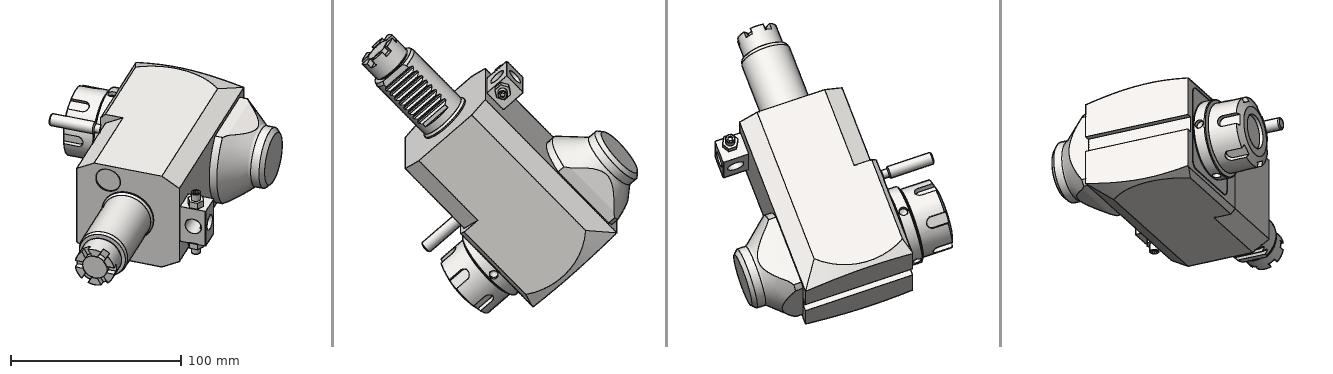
import cadquery as cq
HALF_SIDE = 32.0
BODY_LENGTH = 114.0
EDGE_RUN = 10.9
EDGE_DROP = 6.2
HEAD_START = 51.0
HEAD_STEP = 3.0
KEYWAY_HEIGHT = 9.5
KEYWAY_DEPTH = 3.6
RELIEF_X = -9.2
RELIEF_RADIUS = 43.6
RELIEF_DEPTH = 46.7
RELIEF_SLOPE = 1 / 3
MARK_X = -12.5
MARK_Z = 21.8
MARK_RADIUS = 7.6
MARK_DEPTH = 0.9

HEAD_X = -HALF_SIDE - HEAD_STEP

SPINDLE_Y = 85.0
PAD_WIDTH = 45.3
PAD_HEIGHT = 53.0
PAD_CORNER = 4.3
PAD_RISE = 0.3
RING_X = -43.5
RING_RADIUS = 23.5
RING_LENGTH = 7.6
RING_BEVEL = 0.5
RING_HOLE_RADIUS = 2.6
RING_HOLE_DEPTH = 2.6
RING_HOLE_POINT = 1.5
RING_HOLE_COUNT = 4
SEAT_RADIUS = 22.5
NECK_RADIUS = 18.0
NUT_BACK_X = -44.5
NUT_RIM_X = -62.6
NUT_FACE_X = -64.7
NUT_RADIUS = 21.1
NUT_FACE_RADIUS = 15.0
NUT_BORE_RADIUS = 10.4
NUT_BORE_DEPTH = 2.0
NUT_SLOT_COUNT = 6
NUT_SLOT_WIDTH = 7.0
NUT_SLOT_END_X = -50.5
NUT_SLOT_FLOOR = 18.0

PIN_Y = 56.5
PIN_Z = 17.1
PIN_TIP_X = -68.0
PIN_SHOULDER_X = -40.1
PIN_FLARE_X = -36.7
PIN_RADIUS = 3.6
PIN_NECK_RADIUS = 2.6
PIN_FLARE_RADIUS = 4.3
PIN_BEVEL = 0.7
PLUG_Z = 9.7
PLUG_HOLE_RADIUS = 1.5

COLLAR_RADIUS = 16.1
COLLAR_LENGTH = 2.5
COLLAR_RIM = 0.9
SHANK_RADIUS = 15.0
SHANK_END = 45.3
SHANK_BEVEL = 2.0
SHANK_BEVEL_RADIAL = 0.7
SHANK_NECK_RADIUS = 11.5
DRIVE_RADIUS = 12.3
DRIVE_START = 46.2
DRIVE_END = 59.0
DRIVE_SLOT_COUNT = 6
DRIVE_SLOT_WIDTH = 4.5
DRIVE_SLOT_DEPTH = 3.6
DRIVE_HUB_RADIUS = 7.6
DRIVE_HUB_RECESS = 0.3
FLAT_START = 7.5
FLAT_Z = -12.1
TOOTH_PITCH = 4.0
TOOTH_COUNT = 8
TOOTH_START = 11.8
TOOTH_GAP_MOUTH = 3.6
TOOTH_GAP_ROOT = 1.0
TOOTH_DEPTH = 1.7

CAP_RADIUS = 32.0
CAP_RIM_X = 36.7
CAP_CONE_X = 51.5
CAP_CONE_RADIUS = 19.0
CAP_NOSE_X = 53.0
CAP_END_X = 60.7
CAP_NOSE_RADIUS = 18.3
CAP_BEVEL = 2.6
CAP_FLAT_Z = 23.4
CAP_TAPER_X = 39.1
CAP_TAPER_Z = 19.0
CAP_FLAT_Y = 24.7

BLOCK_X = 48.0
BLOCK_Y_NEAR = 1.4
BLOCK_LENGTH = 14.4
BLOCK_HEIGHT = 24.4
BLOCK_BEVEL = 0.3
PORT_X = 40.1
PORT_RADIUS = 5.0
CROSS_PORT_RADIUS = 4.7
SCREW_Y = 6.2
SCREW_RADIUS = 2.8
SCREW_RISE = 9.0
SCREW_BEVEL = 0.3
SOCKET_WIDTH = 3.1
SOCKET_DEPTH = 1.7
HEX_WIDTH = 9.7
HEX_HEIGHT = 4.2

OVERLAP = 1.7
REACH = 103.8


def box(x_range, y_range, z_range):
    lows, highs = zip(x_range, y_range, z_range)
    sizes = [high - low for low, high in zip(lows, highs)]
    return cq.Workplane().box(*sizes, centered=False).translate(lows)


def turned_x(points, y=0.0, z=0.0):
    """Turn (x, radius) points about a line along X."""
    profile = cq.Workplane().polyline(points).close()
    return profile.revolve(360, (0, 0, 0), (1, 0, 0)).translate((0, y, z))


def turned_shank(points):
    """Turn (distance in front of the housing, radius) points about the Y axis."""
    profile = cq.Workplane().polyline([(radius, -distance) for distance, radius in points]).close()
    return profile.revolve(360, (0, 0, 0), (0, 1, 0))


def rear_relief():
    """Half ring above a cone with a vertical axis; it lowers the rear of the top face."""
    drop = (REACH - RELIEF_RADIUS) * RELIEF_SLOPE
    triangle = [
        (RELIEF_RADIUS, HALF_SIDE),
        (REACH, HALF_SIDE),
        (REACH, HALF_SIDE - drop),
    ]
    half_ring = cq.Workplane("XZ").polyline(triangle).close().revolve(180, (0, 0, 0), (0, 1, 0))
    if half_ring.val().Center().y < 0:
        half_ring = half_ring.mirror("XZ")
    return half_ring.translate((RELIEF_X, BODY_LENGTH - RELIEF_DEPTH, 0))


def housing():
    chamfer_x = HALF_SIDE - EDGE_RUN
    chamfer_z = HALF_SIDE - EDGE_DROP
    head_z = HALF_SIDE - HEAD_STEP
    right_edge = [
        (chamfer_x, -HALF_SIDE),
        (HALF_SIDE, -chamfer_z),
        (HALF_SIDE, chamfer_z),
        (chamfer_x, HALF_SIDE),
    ]
    front_left = [
        (-chamfer_x, HALF_SIDE),
        (-HALF_SIDE, chamfer_z),
        (-HALF_SIDE, -chamfer_z),
        (-chamfer_x, -HALF_SIDE),
    ]
    head_left = [
        (-HALF_SIDE, HALF_SIDE),
        (HEAD_X, head_z),
        (HEAD_X, -head_z),
        (-HALF_SIDE, -HALF_SIDE),
    ]
    front = cq.Workplane("XZ").polyline(right_edge + front_left).close().extrude(-BODY_LENGTH)
    head = cq.Workplane("XZ", origin=(0, HEAD_START, 0)).polyline(right_edge + head_left).close()
    body = front.union(head.extrude(HEAD_START - BODY_LENGTH))

    relief = rear_relief()
    body = body.cut(relief).cut(relief.mirror("XY"))

    half_key = KEYWAY_HEIGHT / 2
    keyway = box((-REACH, REACH), (BODY_LENGTH - KEYWAY_DEPTH, REACH + BODY_LENGTH), (-half_key, half_key))
    mark = cq.Workplane("XZ").center(MARK_X, MARK_Z).circle(MARK_RADIUS).extrude(-MARK_DEPTH)
    return body.cut(keyway).cut(mark)


def spindle_pad():
    pad = box(
        (HEAD_X - PAD_RISE, HEAD_X + OVERLAP),
        (SPINDLE_Y - PAD_WIDTH / 2, SPINDLE_Y + PAD_WIDTH / 2),
        (-PAD_HEIGHT / 2, PAD_HEIGHT / 2),
    )
    return pad.edges("|X").fillet(PAD_CORNER)


def spindle():
    ring_back_x = RING_X + RING_LENGTH
    bore_x = NUT_FACE_X + NUT_BORE_DEPTH
    body = turned_x(
        [
            (HEAD_X + OVERLAP, 0),
            (HEAD_X + OVERLAP, SEAT_RADIUS),
            (ring_back_x, SEAT_RADIUS),
            (ring_back_x, RING_RADIUS - RING_BEVEL),
            (ring_back_x - RING_BEVEL, RING_RADIUS),
            (RING_X + RING_BEVEL, RING_RADIUS),
            (RING_X, RING_RADIUS - RING_BEVEL),
            (RING_X, NECK_RADIUS),
            (NUT_BACK_X, NECK_RADIUS),
            (NUT_BACK_X, NUT_RADIUS),
            (NUT_RIM_X, NUT_RADIUS),
            (NUT_FACE_X, NUT_FACE_RADIUS),
            (NUT_FACE_X, NUT_BORE_RADIUS),
            (bore_x, NUT_BORE_RADIUS),
            (bore_x, 0),
        ]
    )

    slot_length = NUT_SLOT_END_X - NUT_FACE_X
    slot_end = NUT_SLOT_END_X - NUT_SLOT_WIDTH / 2
    slot = (
        cq.Workplane("XZ", origin=(slot_end, NUT_SLOT_FLOOR, 0))
        .circle(NUT_SLOT_WIDTH / 2)
        .extrude(-NUT_RADIUS)
    )
    slot = slot.union(
        box(
            (slot_end - slot_length, slot_end),
            (NUT_SLOT_FLOOR, NUT_SLOT_FLOOR + NUT_RADIUS),
            (-NUT_SLOT_WIDTH / 2, NUT_SLOT_WIDTH / 2),
        )
    )
    for index in range(NUT_SLOT_COUNT):
        body = body.cut(slot.rotate((0, 0, 0), (1, 0, 0), index * 360 / NUT_SLOT_COUNT))

    hole_floor = RING_RADIUS - RING_HOLE_DEPTH
    hole_outline = [
        (0, hole_floor - RING_HOLE_POINT),
        (RING_HOLE_RADIUS, hole_floor),
        (RING_HOLE_RADIUS, RING_RADIUS + OVERLAP),
        (0, RING_RADIUS + OVERLAP),
    ]
    hole = cq.Workplane().polyline(hole_outline).close().revolve(360, (0, 0, 0), (0, 1, 0))
    hole = hole.translate((RING_X + RING_LENGTH / 2, 0, 0))
    for index in range(RING_HOLE_COUNT):
        body = body.cut(hole.rotate((0, 0, 0), (1, 0, 0), index * 360 / RING_HOLE_COUNT))
    return body.translate((0, SPINDLE_Y, 0))


def coolant_pin():
    return turned_x(
        [
            (HEAD_X + OVERLAP, 0),
            (HEAD_X + OVERLAP, PIN_FLARE_RADIUS),
            (HEAD_X, PIN_FLARE_RADIUS),
            (PIN_FLARE_X, PIN_NECK_RADIUS),
            (PIN_SHOULDER_X, PIN_NECK_RADIUS),
            (PIN_SHOULDER_X - PIN_BEVEL, PIN_RADIUS),
            (PIN_TIP_X + PIN_BEVEL, PIN_RADIUS),
            (PIN_TIP_X, PIN_RADIUS - PIN_BEVEL),
            (PIN_TIP_X, 0),
        ],
        PIN_Y,
        PIN_Z,
    )


def plug():
    """Low round plug with a small blind hole, just below the coolant pin."""
    top_x = HEAD_X - PAD_RISE
    return turned_x(
        [
            (HEAD_X + OVERLAP, 0),
            (HEAD_X + OVERLAP, PIN_FLARE_RADIUS),
            (top_x, PIN_FLARE_RADIUS),
            (top_x, PLUG_HOLE_RADIUS),
            (HEAD_X, PLUG_HOLE_RADIUS),
            (HEAD_X, 0),
        ],
        PIN_Y,
        PLUG_Z,
    )


def shank():
    body = turned_shank(
        [
            (-OVERLAP, 0),
            (-OVERLAP, COLLAR_RADIUS),
            (COLLAR_RIM, COLLAR_RADIUS),
            (COLLAR_LENGTH, SHANK_RADIUS),
            (SHANK_END - SHANK_BEVEL, SHANK_RADIUS),
            (SHANK_END, SHANK_RADIUS - SHANK_BEVEL_RADIAL),
            (SHANK_END, 0),
        ]
    )
    flat = box((-REACH, REACH), (-SHANK_END, -FLAT_START), (-REACH, FLAT_Z))
    body = body.cut(flat)

    mouth = TOOTH_GAP_MOUTH / 2
    root = TOOTH_GAP_ROOT / 2
    root_z = FLAT_Z + TOOTH_DEPTH
    gap_outline = [(-mouth, FLAT_Z), (mouth, FLAT_Z), (root, root_z), (-root, root_z)]
    gap = cq.Workplane("YZ").polyline(gap_outline).close().extrude(SHANK_RADIUS, both=True)
    for index in range(TOOTH_COUNT):
        body = body.cut(gap.translate((0, -TOOTH_START - index * TOOTH_PITCH, 0)))
    return body


def drive_end():
    """Slotted drive nut at the tip of the shank, behind a short neck."""
    body = turned_shank(
        [
            (SHANK_END - OVERLAP, 0),
            (SHANK_END - OVERLAP, SHANK_NECK_RADIUS),
            (DRIVE_START, SHANK_NECK_RADIUS),
            (DRIVE_START, DRIVE_RADIUS),
            (DRIVE_END, DRIVE_RADIUS),
            (DRIVE_END, 0),
        ]
    )
    slot = box(
        (0, REACH),
        (-DRIVE_END, DRIVE_SLOT_DEPTH - DRIVE_END),
        (-DRIVE_SLOT_WIDTH / 2, DRIVE_SLOT_WIDTH / 2),
    )
    hub_end = DRIVE_END - DRIVE_HUB_RECESS
    hub = cq.Workplane("XZ").circle(DRIVE_HUB_RADIUS).extrude(hub_end)
    hub_recess = hub.translate((0, -hub_end, 0))
    for index in range(DRIVE_SLOT_COUNT):
        body = body.cut(slot.rotate((0, 0, 0), (0, 1, 0), index * 360 / DRIVE_SLOT_COUNT))
    return body.cut(hub_recess).union(hub)


def rear_cap():
    inner_x = HALF_SIDE - OVERLAP
    body = turned_x(
        [
            (inner_x, 0),
            (inner_x, CAP_RADIUS),
            (CAP_RIM_X, CAP_RADIUS),
            (CAP_CONE_X, CAP_CONE_RADIUS),
            (CAP_NOSE_X, CAP_NOSE_RADIUS),
            (CAP_END_X - CAP_BEVEL, CAP_NOSE_RADIUS),
            (CAP_END_X, CAP_NOSE_RADIUS - CAP_BEVEL),
            (CAP_END_X, 0),
        ]
    )
    upper_edge = [
        (inner_x, CAP_FLAT_Z),
        (CAP_TAPER_X, CAP_FLAT_Z),
        (CAP_NOSE_X, CAP_TAPER_Z),
        (CAP_END_X, CAP_TAPER_Z),
    ]
    lower_edge = [(x, -z) for x, z in reversed(upper_edge)]
    envelope = (
        cq.Workplane("XZ", origin=(0, CAP_FLAT_Y, 0))
        .polyline(upper_edge + lower_edge)
        .close()
        .extrude(CAP_FLAT_Y + CAP_RADIUS)
    )
    return body.intersect(envelope).translate((0, SPINDLE_Y, 0))


def block_screw():
    """Hexagon nut with a socketed screw end, standing on the XY plane."""
    nut = cq.Workplane().polygon(6, HEX_WIDTH).extrude(HEX_HEIGHT)
    screw = cq.Workplane().circle(SCREW_RADIUS).extrude(SCREW_RISE).faces(">Z").chamfer(SCREW_BEVEL)
    socket = (
        cq.Workplane(origin=(0, 0, SCREW_RISE - SOCKET_DEPTH))
        .polygon(6, SOCKET_WIDTH)
        .extrude(SOCKET_DEPTH)
    )
    return nut.union(screw).cut(socket)


def coolant_block():
    half_height = BLOCK_HEIGHT / 2
    block = box(
        (HALF_SIDE - OVERLAP, BLOCK_X),
        (BLOCK_Y_NEAR, BLOCK_Y_NEAR + BLOCK_LENGTH),
        (-half_height, half_height),
    )
    block = block.faces(">X").edges("|Z").chamfer(BLOCK_BEVEL)
    cross_port = (
        cq.Workplane("YZ", origin=(PORT_X, BLOCK_Y_NEAR + BLOCK_LENGTH / 2, 0))
        .circle(CROSS_PORT_RADIUS)
        .extrude(BLOCK_X)
    )
    port = cq.Workplane("XZ").center(PORT_X, 0).circle(PORT_RADIUS).extrude(-REACH / 2)
    screw = block_screw().translate((PORT_X, SCREW_Y, half_height))
    return block.cut(port).cut(cross_port).union(screw).union(screw.mirror("XY"))


result = housing()
for part in (
    spindle_pad(),
    spindle(),
    plug(),
    coolant_pin(),
    shank(),
    drive_end(),
    rear_cap(),
    coolant_block(),
):
    result = result.union(part)